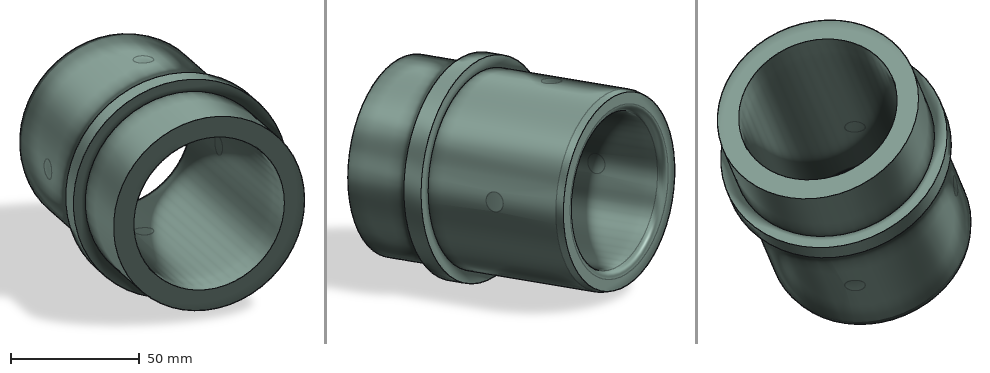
import cadquery as cq

length = 100.0
outer_diameter = 80.0
bore_diameter = 63.0

collar_diameter = 90.0
collar_start = 62.5
collar_width = 8.0

lead_in_length = 3.0
lead_in_depth = 0.8
bore_rounding = 3.0

plug_diameter = 8.0
plug_position = 31.5
plug_count = 4


def cylinder_along_x(diameter, start, width):
    return cq.Workplane("YZ", origin=(start, 0, 0)).circle(diameter / 2).extrude(width)


def sleeve_body():
    """Outer sleeve with a long shallow lead-in chamfer on the left end."""
    radius = outer_diameter / 2
    return (
        cq.Workplane("XY")
        .moveTo(0, 0)
        .lineTo(0, radius - lead_in_depth)
        .lineTo(lead_in_length, radius)
        .lineTo(length, radius)
        .lineTo(length, 0)
        .close()
        .revolve(360, (0, 0, 0), (1, 0, 0))
    )


def radial_pin(angle):
    """Pin reaching from the axis past the outer surface, turned about the axis by angle."""
    return (
        cq.Workplane("XY", origin=(plug_position, 0, 0))
        .circle(plug_diameter / 2)
        .extrude(outer_diameter)
        .rotate((0, 0, 0), (1, 0, 0), angle)
    )


sleeve = sleeve_body().union(cylinder_along_x(collar_diameter, collar_start, collar_width))
sleeve = sleeve.cut(cylinder_along_x(bore_diameter, 0, length))

bore_edge = cq.selectors.RadiusNthSelector(0)
sleeve = sleeve.faces("<X").edges(bore_edge).fillet(bore_rounding)

result = sleeve
for index in range(plug_count):
    pin = radial_pin(index * 360 / plug_count)
    plug = sleeve.intersect(pin)
    result = result.cut(pin, clean=False).union(plug, clean=False)